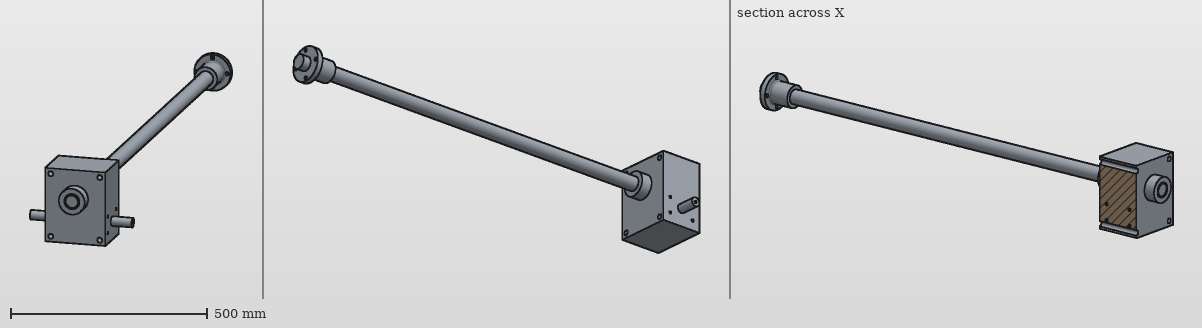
import cadquery as cq


HOUSING_WIDTH = 160.0
HOUSING_DEPTH = 122.0
HOUSING_HEIGHT = 195.0
SCREW_BELOW_TOP = 75.0
SHAFT_ABOVE_BOTTOM = 50.0
HOUSING_TOP = SCREW_BELOW_TOP
HOUSING_BOTTOM = HOUSING_TOP - HOUSING_HEIGHT
HOUSING_MID_Z = (HOUSING_TOP + HOUSING_BOTTOM) / 2

COLLAR_DIAMETER = 68.0
COLLAR_LENGTH = 32.0

MOUNT_HOLE_DIAMETER = 13.0
MOUNT_SPACING_X = 130.0
MOUNT_SPACING_Z = 166.0

SIDE_HOLE_DIAMETER = 6.7
SIDE_HOLE_DEPTH = 16.0
SIDE_SPACING_Y = 75.0
SIDE_SPACING_Z = 43.0

OVERALL_WIDTH = 270.0
SHAFT_DIAMETER = 25.0
SHAFT_STUB_LENGTH = (OVERALL_WIDTH - HOUSING_WIDTH) / 2
SHAFT_Z = HOUSING_BOTTOM + SHAFT_ABOVE_BOTTOM
SHAFT_BORE_DIAMETER = 6.7
SHAFT_BORE_DEPTH = 20.0

SCREW_LENGTH = 1315.0
SCREW_DIAMETER = 40.0
SCREW_TIP_DIAMETER = 33.0
SCREW_CHAMFER = (SCREW_DIAMETER - SCREW_TIP_DIAMETER) / 2
SCREW_FRONT_Y = -HOUSING_DEPTH / 2 - COLLAR_LENGTH
SCREW_BACK_Y = SCREW_FRONT_Y + SCREW_LENGTH

FLANGE_DIAMETER = 96.0
FLANGE_THICKNESS = 16.0
NUT_DIAMETER = 60.0
NUT_SLEEVE_LENGTH = 59.0
SCREW_BEYOND_FLANGE = 24.0
FLANGE_BACK_Y = SCREW_BACK_Y - SCREW_BEYOND_FLANGE
FLANGE_FRONT_Y = FLANGE_BACK_Y - FLANGE_THICKNESS
NUT_FRONT_Y = FLANGE_FRONT_Y - NUT_SLEEVE_LENGTH
FLANGE_HOLE_DIAMETER = 9.0
FLANGE_HOLE_COUNT = 4
FLANGE_HOLE_CIRCLE = 78.0
NUT_FILLET_RADIUS = 3.0


def cylinder_y(diameter, start_y, end_y, x=0.0, z=0.0):
    """Cylinder parallel to Y between two Y positions."""
    start = cq.Vector(x, start_y, z)
    return cq.Workplane(cq.Solid.makeCylinder(diameter / 2, end_y - start_y, start, cq.Vector(0, 1, 0)))


def make_housing():
    """Gearbox block with screw collars, mounting holes and blind side holes."""
    box = cq.Workplane().box(HOUSING_WIDTH, HOUSING_DEPTH, HOUSING_HEIGHT)
    housing = box.translate((0, 0, HOUSING_MID_Z))
    collar_end = HOUSING_DEPTH / 2 + COLLAR_LENGTH
    housing = housing.union(cylinder_y(COLLAR_DIAMETER, -collar_end, collar_end))
    housing = housing.cut(cylinder_y(SCREW_DIAMETER, -collar_end, collar_end))

    for x in (-MOUNT_SPACING_X / 2, MOUNT_SPACING_X / 2):
        for dz in (-MOUNT_SPACING_Z / 2, MOUNT_SPACING_Z / 2):
            z = HOUSING_MID_Z + dz
            hole = cylinder_y(MOUNT_HOLE_DIAMETER, -HOUSING_DEPTH / 2, HOUSING_DEPTH / 2, x, z)
            housing = housing.cut(hole)

    for side in (-1, 1):
        for y in (-SIDE_SPACING_Y / 2, SIDE_SPACING_Y / 2):
            for dz in (-SIDE_SPACING_Z / 2, SIDE_SPACING_Z / 2):
                mouth = cq.Vector(side * HOUSING_WIDTH / 2, y, SHAFT_Z + dz)
                inward = cq.Vector(-side, 0, 0)
                hole = cq.Solid.makeCylinder(SIDE_HOLE_DIAMETER / 2, SIDE_HOLE_DEPTH, mouth, inward)
                housing = housing.cut(cq.Workplane(hole))
    return housing


def make_shaft_stub(side):
    """Drive shaft stub on the -X (side = -1) or +X (side = 1) face, with a centre bore in its end."""
    outward = cq.Vector(side, 0, 0)
    root = cq.Vector(side * HOUSING_WIDTH / 2, 0, SHAFT_Z)
    tip = cq.Vector(side * OVERALL_WIDTH / 2, 0, SHAFT_Z)
    stub = cq.Workplane(cq.Solid.makeCylinder(SHAFT_DIAMETER / 2, SHAFT_STUB_LENGTH, root, outward))
    bore = cq.Solid.makeCylinder(SHAFT_BORE_DIAMETER / 2, SHAFT_BORE_DEPTH, tip, -outward)
    return stub.cut(cq.Workplane(bore))


def make_screw():
    """Plain lifting screw, flush with the front collar and chamfered at that end."""
    screw = cylinder_y(SCREW_DIAMETER, SCREW_FRONT_Y, SCREW_BACK_Y)
    return screw.faces("<Y").chamfer(SCREW_CHAMFER)


def make_nut():
    """Flanged nut with a filleted sleeve, bored for the screw and drilled through its flange."""
    nut = cylinder_y(FLANGE_DIAMETER, FLANGE_FRONT_Y, FLANGE_BACK_Y)
    nut = nut.union(cylinder_y(NUT_DIAMETER, NUT_FRONT_Y, FLANGE_FRONT_Y))
    flange_front_edges = nut.faces("<Y[1]").edges()
    nut = flange_front_edges.edges(cq.selectors.RadiusNthSelector(0)).fillet(NUT_FILLET_RADIUS)
    nut = nut.cut(cylinder_y(SCREW_DIAMETER, NUT_FRONT_Y, FLANGE_BACK_Y))
    hole = cylinder_y(FLANGE_HOLE_DIAMETER, FLANGE_FRONT_Y, FLANGE_BACK_Y, x=FLANGE_HOLE_CIRCLE / 2)
    for index in range(FLANGE_HOLE_COUNT):
        angle = index * 360 / FLANGE_HOLE_COUNT
        nut = nut.cut(hole.rotate((0, 0, 0), (0, 1, 0), angle))
    return nut


housing = make_housing()
screw = make_screw()
nut = make_nut()
shaft_stubs = [make_shaft_stub(side) for side in (-1, 1)]

result = cq.Compound.makeCompound(
    [housing.val(), screw.val(), nut.val(), *[stub.val() for stub in shaft_stubs]]
)